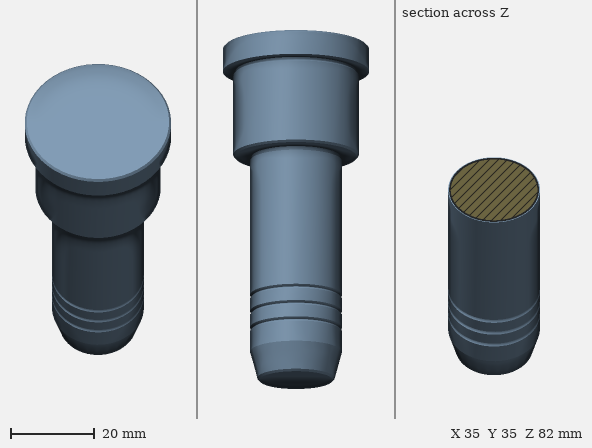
import cadquery as cq
import math

total_height = 82.0

flange_radius = 35.0 / 2
flange_height = 6.0
edge_chamfer = 0.5

collar_radius = 30.0 / 2
collar_bottom = 55.0
collar_relief_height = 0.5

shank_radius = 22.0 / 2
neck_radius = 21.2 / 2
neck_height = 1.0

groove_bottom = 12.0
groove_pitch = 4.0
groove_count = 3
groove_width = 1.0

taper_height = 7.0
taper_angle = 15.0
tip_chamfer = 0.5

flange_bottom = total_height - flange_height
collar_top = flange_bottom - collar_relief_height
neck_bottom = collar_bottom - neck_height
relief_radius = collar_radius - edge_chamfer
tip_radius = shank_radius - (taper_height - tip_chamfer) * math.tan(math.radians(taper_angle))

profile = [
    (0, 0),
    (tip_radius - tip_chamfer, 0),
    (tip_radius, tip_chamfer),
    (shank_radius, taper_height),
]

groove_depth = groove_width / 2
for index in range(groove_count):
    bottom = groove_bottom + index * groove_pitch
    profile += [
        (shank_radius, bottom),
        (shank_radius - groove_depth, bottom + groove_width / 2),
        (shank_radius, bottom + groove_width),
    ]

profile += [
    (shank_radius, neck_bottom),
    (neck_radius, neck_bottom),
    (neck_radius, collar_bottom),
    (collar_radius - edge_chamfer, collar_bottom),
    (collar_radius, collar_bottom + edge_chamfer),
    (collar_radius, collar_top - edge_chamfer),
    (relief_radius, collar_top),
    (relief_radius, flange_bottom),
    (flange_radius, flange_bottom),
    (flange_radius, total_height - edge_chamfer),
    (flange_radius - edge_chamfer, total_height),
    (0, total_height),
]

result = cq.Workplane("XZ").polyline(profile).close().revolve(360, (0, 0, 0), (0, 1, 0))